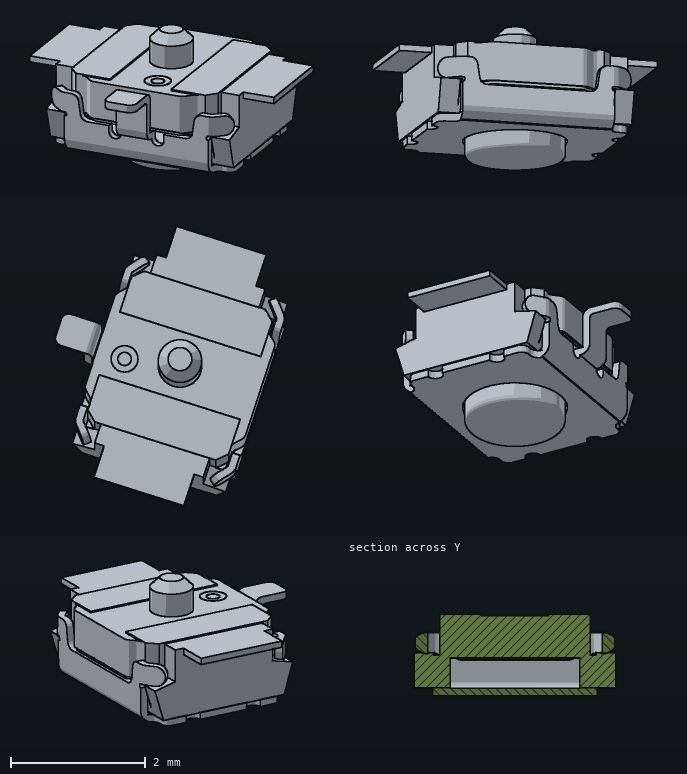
import cadquery as cq
import math

sheet = 0.12

housing_length = 3.0
core_length = 2.4
core_width = 2.2
core_foot_width = 2.175
housing_top = 1.2
end_foot_width = 2.105
end_waist_width = 2.4
end_waist_z = 0.61
end_shoulder_width = 1.695
end_shoulder_z = 0.695
corner_cut_x = 0.145
corner_cut_y = 0.155
bulge_width = 2.5
bulge_half_length = 0.745
bulge_blend = 0.12
lip_height = 0.05
lip_inset = 0.025
lip_half_length = 0.705
cavity_length = 1.92

overall_length = 4.0
terminal_width = 1.41
terminal_thickness = 0.1
pad_inner_x = 0.5
pad_rise = 0.02
pin_diameter = 0.65
pin_top = 1.71
pin_chamfer = 0.15
mark_x = 0.15
mark_y = -0.815
mark_diameter = 0.4
mark_center_diameter = 0.2
mark_depth = 0.005

button_diameter = 1.5
button_bottom = -0.29
button_rounding = 0.105
neck_diameter = 0.4

frame_width = 2.5
bend_radius = 0.2
wall_half_length = 1.175
wall_top = 0.95
window_bottom = 0.54
window_half_bottom = 0.9
window_half_top = 0.96
window_rounding = 0.12
button_hole_diameter = 1.55
plate_length = 2.96
foot_corner = 0.13
notch_y = 0.525
notch_radius = 0.12

claw_bend_x = 1.165
claw_bend_radius = 0.16
claw_angle = 40.0
claw_straight = 0.3
claw_height = 0.31
claw_rounding = 0.15
relief_radius = 0.03

tab_width = 0.5
tab_reach = 1.9
tab_rise_y = 1.42
tab_root_z = 0.44
tab_root_bend = 0.16
tab_top_bend = 0.12
tab_inner_bend = 0.06
tab_corner = 0.12
slot_radius = 0.1
slot_center_z = 0.45

wall_outer = frame_width / 2
wall_inner = wall_outer - sheet
lip_bottom = end_waist_z - lip_height
claw_bottom = wall_top - claw_height


def box(x0, x1, y0, y1, z0, z1):
    """Block between two opposite corners."""
    return cq.Workplane("XY").box(x1 - x0, y1 - y0, z1 - z0, centered=False).translate((x0, y0, z0))


def centered_box(length, width, z0, z1):
    """Block centred on the Z axis."""
    return box(-length / 2, length / 2, -width / 2, width / 2, z0, z1)


def cylinder(x, y, diameter, z0, z1):
    return cq.Workplane("XY", origin=(x, y, z0)).circle(diameter / 2).extrude(z1 - z0)


def both_y(shape):
    """The shape together with its mirror copy across the XZ plane."""
    return shape.union(shape.mirror("XZ"))


def both_x(shape):
    """The shape together with its mirror copy across the YZ plane."""
    return shape.union(shape.mirror("YZ"))


def end_profile(length):
    """Tapered body with sloping shoulders, extruded along X."""
    right_side = [
        (end_foot_width / 2, sheet),
        (end_waist_width / 2, end_waist_z),
        (end_shoulder_width / 2, end_shoulder_z),
        (end_shoulder_width / 2, housing_top),
    ]
    left_side = [(-y, z) for y, z in reversed(right_side)]
    return cq.Workplane("YZ").polyline(right_side + left_side).close().extrude(length / 2, both=True)


def bulge(half_length, width, z0, z1):
    """Middle of the housing whose sides step out at 45 degrees through blended corners."""
    rise = (width - core_width) / 2
    foot = half_length + rise
    edge = core_length / 2 - corner_cut_x
    side = [(-edge, core_width / 2), (-foot, core_width / 2), (-half_length, width / 2)]
    upper = side + [(-x, y) for x, y in reversed(side)]
    lower = [(x, -y) for x, y in reversed(upper)]
    body = cq.Workplane("XY", origin=(0, 0, z0)).polyline(upper + lower).close().extrude(z1 - z0)
    reach = (foot + edge) / 2
    corners = cq.selectors.BoxSelector((-reach, -width, z0), (reach, width, z1))
    return body.edges("|Z").edges(corners).fillet(bulge_blend)


def core():
    """Middle of the housing: tapered below the waist, with cut corners above it."""
    lower = centered_box(core_length, core_foot_width, sheet, end_waist_z).intersect(end_profile(core_length))
    upper = centered_box(core_length, core_width, end_waist_z, housing_top)
    half_x = core_length / 2
    half_y = core_width / 2
    corner = (
        cq.Workplane("XY", origin=(0, 0, end_waist_z))
        .polyline([(half_x, half_y), (half_x - corner_cut_x, half_y), (half_x, half_y - corner_cut_y)])
        .close()
        .extrude(housing_top + pad_rise - end_waist_z)
    )
    pad = box(pad_inner_x, half_x, -half_y, half_y, housing_top, housing_top + pad_rise)
    return lower.union(upper).union(both_x(pad)).cut(both_x(both_y(corner)))


def button():
    """Round button with a rounded rim, on a neck that reaches up to the housing."""
    cap = cylinder(0, 0, button_diameter, button_bottom, sheet).faces("<Z").edges().fillet(button_rounding)
    return cap.union(cylinder(0, 0, neck_diameter, sheet, lip_bottom))


def make_housing():
    end_block = end_profile(housing_length).cut(
        centered_box(core_length, end_waist_width, sheet, housing_top)
    )
    terminal = box(
        housing_length / 2, overall_length / 2, -terminal_width / 2, terminal_width / 2,
        housing_top - terminal_thickness, housing_top,
    )
    pin = cylinder(0, 0, pin_diameter, housing_top, pin_top).faces(">Z").chamfer(pin_chamfer)
    mark = cylinder(mark_x, mark_y, mark_diameter, housing_top - mark_depth, housing_top)
    mark_center = cylinder(
        mark_x, mark_y, mark_center_diameter, housing_top - 2 * mark_depth, housing_top
    )
    cavity = centered_box(cavity_length, end_waist_width, sheet, end_waist_z)
    body = core().cut(cavity).union(end_block)
    body = body.union(bulge(bulge_half_length, bulge_width, end_waist_z, housing_top))
    lip = bulge(lip_half_length, bulge_width - 2 * lip_inset, lip_bottom, end_waist_z)
    body = body.union(
        lip.intersect(centered_box(cavity_length, bulge_width, lip_bottom, end_waist_z))
    )
    body = body.union(both_x(terminal)).union(pin).cut(mark).cut(mark_center)
    return body.union(button())


def channel():
    """Plate with two upright side walls, bent from one sheet."""
    outer = (
        centered_box(2 * wall_half_length, frame_width, 0, wall_top)
        .edges("|X and <Z")
        .fillet(bend_radius)
    )
    inner = (
        centered_box(2 * wall_half_length, 2 * wall_inner, sheet, wall_top)
        .edges("|X and <Z")
        .fillet(bend_radius - sheet)
    )
    return outer.cut(inner)


def wall_window():
    """Opening cut down through both side walls, flaring upward, with rounded corners."""
    flare = math.atan2(window_half_top - window_half_bottom, wall_top - window_bottom)
    reach = window_rounding * math.tan(math.pi / 4 - flare / 2)

    bisector = math.pi / 4 + flare / 2
    gap = window_rounding * (1 / math.cos(math.pi / 4 - flare / 2) - 1)
    gap_x = gap * math.cos(bisector)
    gap_z = gap * math.sin(bisector)
    along_x = reach * math.sin(flare)
    along_z = reach * math.cos(flare)
    low_mid = (window_half_bottom - gap_x, window_bottom + gap_z)
    high_mid = (window_half_top + gap_x, wall_top - gap_z)
    half = (
        cq.Workplane("XZ")
        .moveTo(0, window_bottom)
        .lineTo(window_half_bottom - reach, window_bottom)
        .threePointArc(low_mid, (window_half_bottom + along_x, window_bottom + along_z))
        .lineTo(window_half_top - along_x, wall_top - along_z)
        .threePointArc(high_mid, (window_half_top + reach, wall_top))
        .lineTo(0, wall_top)
        .close()
        .extrude(frame_width / 2, both=True)
    )
    return both_x(half)


def foot():
    """Plate end under an end block: rounded corners, and hollow corners beside the walls."""
    half = plate_length / 2
    diagonal = foot_corner * math.sqrt(0.5)
    hollow_x = wall_half_length + foot_corner
    edge_y = wall_inner - foot_corner
    round_x = half - foot_corner
    round_y = edge_y - foot_corner
    quarter = (
        cq.Workplane("XY")
        .moveTo(0, 0)
        .lineTo(0, wall_inner)
        .lineTo(wall_half_length, wall_inner)
        .threePointArc((hollow_x - diagonal, wall_inner - diagonal), (hollow_x, edge_y))
        .lineTo(round_x, edge_y)
        .threePointArc((round_x + diagonal, round_y + diagonal), (half, round_y))
        .lineTo(half, 0)
        .close()
        .extrude(sheet)
    )
    return both_y(quarter.cut(cylinder(half, notch_y, 2 * notch_radius, 0, sheet)))


def claw():
    """Ear end bent inward over the housing shoulder, with a rounded tip."""
    center_y = wall_outer - claw_bend_radius
    inner_radius = claw_bend_radius - sheet
    turn = math.radians(claw_angle)

    def on_bend(radius, angle):
        return (claw_bend_x + radius * math.sin(angle), center_y + radius * math.cos(angle))

    bend = (
        cq.Workplane("XY", origin=(0, 0, claw_bottom))
        .moveTo(*on_bend(claw_bend_radius, 0))
        .threePointArc(on_bend(claw_bend_radius, turn / 2), on_bend(claw_bend_radius, turn))
        .lineTo(*on_bend(inner_radius, turn))
        .threePointArc(on_bend(inner_radius, turn / 2), on_bend(inner_radius, 0))
        .close()
        .extrude(claw_height)
    )
    blade = (
        box(0, claw_straight, -sheet, 0, claw_bottom, wall_top)
        .edges("|Y and >X")
        .fillet(claw_rounding)
        .rotate((0, 0, 0), (0, 0, 1), -claw_angle)
        .translate((*on_bend(claw_bend_radius, turn), 0))
    )
    return bend.union(blade)


def ground_tab():
    """Tab bent out of the -Y wall, up, and outward again level with the housing top."""
    rise_inner = tab_rise_y - sheet
    root_top = tab_root_z + sheet
    level_bottom = housing_top - sheet
    section = [
        (-wall_inner, tab_root_z),
        (-tab_rise_y, tab_root_z),
        (-tab_rise_y, level_bottom),
        (-tab_reach, level_bottom),
        (-tab_reach, housing_top),
        (-rise_inner, housing_top),
        (-rise_inner, root_top),
        (-wall_inner, root_top),
    ]
    tab = cq.Workplane("YZ").polyline(section).close().extrude(tab_width / 2, both=True)

    def bend(shape, y, z, radius):
        corner = cq.selectors.NearestToPointSelector((0, y, z))
        return shape.edges("|X").edges(corner).fillet(radius)

    tab = bend(tab, -tab_rise_y, tab_root_z, tab_root_bend)
    tab = bend(tab, -rise_inner, housing_top, tab_top_bend)
    tab = bend(tab, -tab_rise_y, level_bottom, tab_inner_bend)
    return tab.edges("|Z and <Y").fillet(tab_corner)


def tab_slot():
    """Round-ended slot beside the ground tab."""
    x = tab_width / 2 + slot_radius
    slot = box(
        x - slot_radius, x + slot_radius, -wall_outer, -wall_inner, slot_center_z, window_bottom
    )
    end = (
        cq.Workplane("XZ", origin=(x, -wall_inner, slot_center_z))
        .circle(slot_radius)
        .extrude(sheet)
    )
    return slot.union(end)


def relief():
    """Small round notch in the wall end just under a claw."""
    return (
        cq.Workplane("XZ", origin=(wall_half_length, wall_outer, claw_bottom - relief_radius))
        .circle(relief_radius)
        .extrude(sheet)
    )


def make_frame():
    ear_end = box(
        claw_bend_x, wall_half_length, wall_inner, wall_outer, claw_bottom, wall_top
    )
    body = channel().cut(wall_window()).cut(both_x(both_y(ear_end)))
    body = body.cut(both_x(both_y(relief())))
    body = body.union(both_x(foot())).union(both_x(both_y(claw())))
    body = body.cut(cylinder(0, 0, button_hole_diameter, 0, sheet))
    return body.cut(both_x(tab_slot())).union(ground_tab())


frame = make_frame()
housing = make_housing().cut(frame)

result = cq.Compound.makeCompound([*housing.solids().vals(), *frame.solids().vals()])